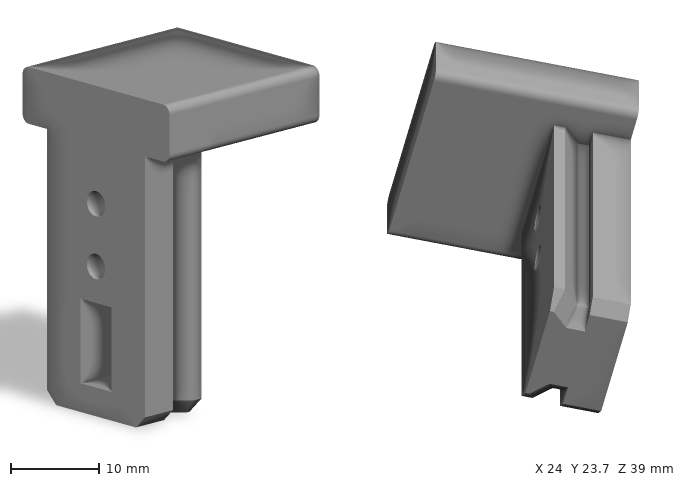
import cadquery as cq

CAP_WIDTH = 24.0
CAP_DEPTH = 23.7
CAP_THICKNESS = 6.7
CAP_EDGE_RADIUS = 1.0
TOTAL_HEIGHT = 39.0
CAP_BOTTOM = TOTAL_HEIGHT - CAP_THICKNESS

LEG_WIDTH = 16.0
PLATE_DEPTH = 4.45
PLATE_CHAMFER = 1.5
FLARE_START = 5.77
FLARE_SIZE = 1.9
RAIL_BACK = 8.97
RAIL_CHAMFER = 2.0

HOLE_DIAMETER = 3.0
UPPER_HOLE_HEIGHT = 25.08
HOLE_SPACING = 7.4
POCKET_WIDTH = 5.0
POCKET_HEIGHT = 10.0
POCKET_BOTTOM = 3.4
POCKET_DEPTH = 6.0


def front_box(width, depth, bottom, height):
    """Box centred on X, reaching back from the front face."""
    return cq.Workplane("XY", origin=(0, 0, bottom)).box(width, depth, height, centered=(True, False, False))


def make_cap():
    cap = front_box(CAP_WIDTH, CAP_DEPTH, CAP_BOTTOM, CAP_THICKNESS)
    return cap.edges("|Y").fillet(CAP_EDGE_RADIUS)


def make_plate():
    plate = front_box(LEG_WIDTH, PLATE_DEPTH, 0, CAP_BOTTOM)
    return plate.edges("|Y and <Z").chamfer(PLATE_CHAMFER)


def rail_section(height, inset):
    """Closed outline of the rail at a height, with its sides and flares moved inward by the inset."""
    head = LEG_WIDTH / 2 - inset
    neck = head - FLARE_SIZE
    flare_shift = inset * (2 ** 0.5 - 1)
    flare_start = FLARE_START + flare_shift
    flare_end = flare_start + FLARE_SIZE
    right_side = [(neck, PLATE_DEPTH), (neck, flare_start), (head, flare_end), (head, RAIL_BACK)]
    left_side = [(-x, y) for x, y in reversed(right_side)]
    points = [cq.Vector(x, y, height) for x, y in right_side + left_side]
    return cq.Wire.makePolygon(points, close=True)


def make_rail():
    """Straight rail standing on an end tapered by its bottom chamfer."""
    full_section = rail_section(RAIL_CHAMFER, 0)
    end_section = rail_section(0, RAIL_CHAMFER)
    tapered_end = cq.Solid.makeLoft([end_section, full_section], True)
    straight = cq.Solid.extrudeLinear(full_section, [], cq.Vector(0, 0, CAP_BOTTOM - RAIL_CHAMFER))
    return cq.Workplane(straight).union(cq.Workplane(tapered_end))


def make_holes():
    heights = [UPPER_HOLE_HEIGHT, UPPER_HOLE_HEIGHT - HOLE_SPACING]
    front_plane = cq.Workplane("XZ").pushPoints([(0, height) for height in heights])
    return front_plane.circle(HOLE_DIAMETER / 2).extrude(-RAIL_BACK)


pocket = front_box(POCKET_WIDTH, POCKET_DEPTH, POCKET_BOTTOM, POCKET_HEIGHT)
body = make_cap().union(make_plate()).union(make_rail())
result = body.cut(make_holes()).cut(pocket)